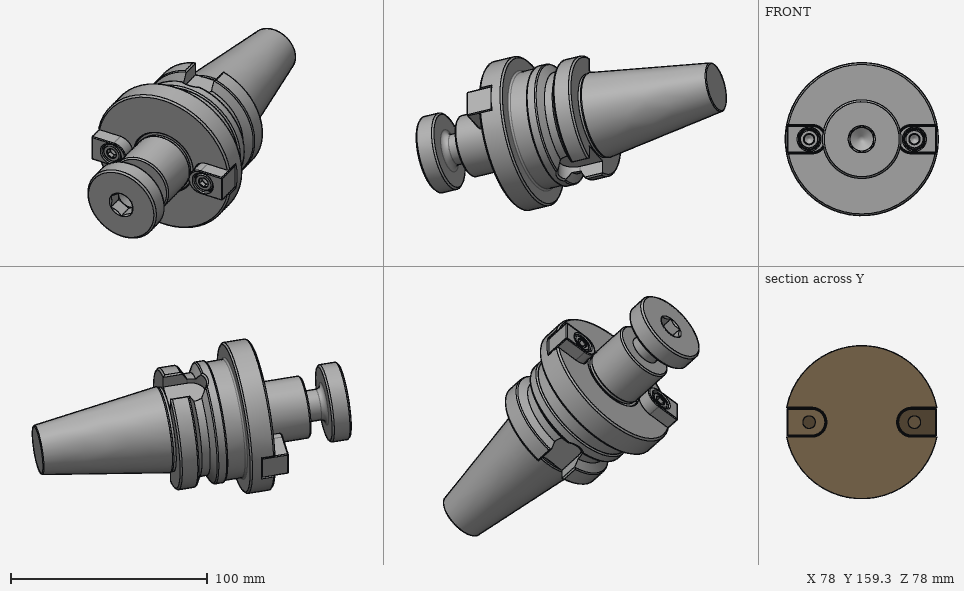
import cadquery as cq
import math


gauge_diameter = 44.5
taper_length = 65.4
taper_ratio = 7 / 24
taper_end_chamfer = 0.5
relief_depth = 0.4
relief_ramp = 0.8

flange_diameter = 63.0
flange_back_y = -2.0
flange_front_y = -27.0
flange_back_chamfer = 1.0
flange_front_chamfer = 0.8
groove_centre_y = -16.5
groove_floor_diameter = 53.1
groove_floor_width = 4.3
groove_wall_angle = 60
groove_edge_chamfer = 0.5

drive_slot_width = 16.1
drive_slot_end_y = -22.6
drive_slot_floor_z = 22.5
drive_slot_chamfer = 1.0

neck_diameter = 61.0
neck_fillet = 1.0
body_diameter = 78.0
body_back_y = -37.0
body_face_y = -50.0
body_chamfer = 1.0
pilot_diameter = 32.0
pilot_length = 23.9
pilot_chamfer = 0.8
undercut_depth = 0.5
undercut_width = 1.0
undercut_rim = 1.0

key_width = 14.0
key_outer_x = 38.1
key_inner_x = 18.3
key_depth = 7.2
key_protrusion = 6.9
key_chamfer = 0.5
key_slot_clearance = 0.5

key_screw_x = 26.8
key_screw_head_diameter = 10.0
key_screw_head_height = 6.0
key_screw_head_chamfer = 0.6
key_screw_shank_diameter = 6.0
key_screw_shank_length = 12.8
key_screw_recess = 0.6
key_screw_socket_width = 5.0
key_screw_socket_depth = 3.0
counterbore_diameter = 11.0
counterbore_chamfer = 0.6

clamp_shank_diameter = 16.0
clamp_head_diameter = 40.0
clamp_head_height = 10.0
clamp_head_chamfer = 1.0
clamp_fillet = 3.0
clamp_gap = 10.0
clamp_socket_width = 12.0
clamp_socket_depth = 8.0

drill_point_angle = 118

pilot_end_y = body_face_y - pilot_length
clamp_head_back_y = pilot_end_y - clamp_gap
clamp_head_front_y = clamp_head_back_y - clamp_head_height
key_bottom_y = body_face_y + key_depth
key_face_y = body_face_y - key_protrusion
key_screw_head_y = key_face_y + key_screw_recess
key_screw_seat_y = key_screw_head_y + key_screw_head_height
key_screw_tip_y = key_screw_seat_y + key_screw_shank_length
SIDES = (-1, 1)


def turned(outline):
    """Revolve a list of (radius, y) points about the tool axis."""
    return cq.Workplane("XY").polyline(outline).close().revolve(360, (0, 0, 0), (0, 1, 0))


def rod(diameter, start_y, end_y, x=0):
    """Cylinder parallel to the tool axis between two Y places."""
    return cq.Workplane("XZ", origin=(x, start_y, 0)).circle(diameter / 2).extrude(start_y - end_y)


def hexagon_socket(width, face_y, depth):
    """Hexagon socket open to -Y, with a chamfered mouth and a drill point at the bottom."""
    inner_radius = width / 2
    corner_radius = width / math.sqrt(3)
    mouth_depth = corner_radius - inner_radius
    floor_y = face_y + depth
    tip_y = floor_y + inner_radius / math.tan(math.radians(drill_point_angle / 2))
    hexagon = (
        cq.Workplane("XZ", origin=(0, floor_y, 0))
        .transformed(rotate=(0, 0, 90))
        .polygon(6, 2 * corner_radius)
        .extrude(depth)
    )
    bore = turned([
        (0, face_y),
        (corner_radius, face_y),
        (inner_radius, face_y + mouth_depth),
        (inner_radius, floor_y),
        (0, tip_y),
    ])
    return hexagon.union(bore)


def taper():
    big_radius = gauge_diameter / 2
    small_radius = big_radius - taper_length * taper_ratio / 2
    relief_radius = big_radius - relief_depth
    return turned([
        (0, taper_length),
        (small_radius - taper_end_chamfer, taper_length),
        (small_radius + taper_end_chamfer * taper_ratio / 2, taper_length - taper_end_chamfer),
        (big_radius, 0),
        (relief_radius, -relief_ramp),
        (relief_radius, flange_back_y),
        (0, flange_back_y),
    ])


def drive_slot():
    """Slot at the top of the flange, open to +Y, with a half-round end."""
    half_width = drive_slot_width / 2
    arc_centre_y = drive_slot_end_y + half_width
    return (
        cq.Workplane("XY", origin=(0, 0, drive_slot_floor_z))
        .moveTo(-half_width, flange_back_y)
        .lineTo(-half_width, arc_centre_y)
        .threePointArc((0, drive_slot_end_y), (half_width, arc_centre_y))
        .lineTo(half_width, flange_back_y)
        .close()
        .extrude(flange_diameter / 2)
    )


def v_groove():
    floor_radius = groove_floor_diameter / 2
    rim_radius = flange_diameter / 2
    half_floor = groove_floor_width / 2
    half_rim = half_floor + (rim_radius - floor_radius) / math.tan(math.radians(groove_wall_angle))
    chamfer_radius = rim_radius - groove_edge_chamfer
    half_chamfer = half_floor + (chamfer_radius - floor_radius) / math.tan(math.radians(groove_wall_angle))
    half_mouth = half_rim + groove_edge_chamfer
    return turned([
        (floor_radius, groove_centre_y - half_floor),
        (chamfer_radius, groove_centre_y - half_chamfer),
        (rim_radius, groove_centre_y - half_mouth),
        (rim_radius, groove_centre_y + half_mouth),
        (chamfer_radius, groove_centre_y + half_chamfer),
        (floor_radius, groove_centre_y + half_floor),
    ])


def drive_flange():
    radius = flange_diameter / 2
    flange = rod(flange_diameter, flange_back_y, flange_front_y)
    slot = drive_slot()
    flange = flange.cut(slot).cut(slot.rotate((0, 0, 0), (0, 1, 0), 180))
    edge_reach = drive_slot_width / 2 + drive_slot_chamfer / 2
    lowest_z = math.sqrt(radius**2 - edge_reach**2)
    for side in SIDES:
        mouth = cq.selectors.BoxSelector(
            (-edge_reach, flange_back_y, side * lowest_z),
            (edge_reach, flange_front_y, side * flange_diameter),
        )
        flange = flange.edges(mouth).chamfer(drive_slot_chamfer)
    rim = turned([
        (0, flange_back_y),
        (radius - flange_back_chamfer, flange_back_y),
        (radius, flange_back_y - flange_back_chamfer),
        (radius, flange_front_y + flange_front_chamfer),
        (radius - flange_front_chamfer, flange_front_y),
        (0, flange_front_y),
    ])
    return flange.intersect(rim).cut(v_groove())


def neck_body_and_pilot():
    neck_radius = neck_diameter / 2
    body_radius = body_diameter / 2
    pilot_radius = pilot_diameter / 2
    undercut_radius = pilot_radius - undercut_depth
    recess_radius = pilot_radius + undercut_rim
    undercut_end_y = body_face_y - undercut_width
    fillet_middle = neck_fillet * (1 - math.sqrt(0.5))
    return (
        cq.Workplane("XY")
        .moveTo(0, flange_front_y)
        .lineTo(neck_radius, flange_front_y)
        .lineTo(neck_radius, body_back_y + neck_fillet)
        .threePointArc(
            (neck_radius + fillet_middle, body_back_y + fillet_middle),
            (neck_radius + neck_fillet, body_back_y),
        )
        .lineTo(body_radius - body_chamfer, body_back_y)
        .lineTo(body_radius, body_back_y - body_chamfer)
        .lineTo(body_radius, body_face_y + body_chamfer)
        .lineTo(body_radius - body_chamfer, body_face_y)
        .lineTo(recess_radius + undercut_depth, body_face_y)
        .lineTo(recess_radius, body_face_y + undercut_depth)
        .lineTo(undercut_radius, body_face_y + undercut_depth)
        .lineTo(undercut_radius, undercut_end_y)
        .lineTo(pilot_radius, undercut_end_y - undercut_depth)
        .lineTo(pilot_radius, pilot_end_y + pilot_chamfer)
        .lineTo(pilot_radius - pilot_chamfer, pilot_end_y)
        .lineTo(0, pilot_end_y)
        .close()
        .revolve(360, (0, 0, 0), (0, 1, 0))
    )


def round_nosed_bar(width, outer_x, near_y, far_y):
    """Bar along +X with a half-round inner end, centred on the round of the keys."""
    half_width = width / 2
    arc_centre_x = key_inner_x + key_width / 2
    return (
        cq.Workplane("XZ", origin=(0, near_y, 0))
        .moveTo(outer_x, half_width)
        .lineTo(arc_centre_x, half_width)
        .threePointArc((arc_centre_x - half_width, 0), (arc_centre_x, -half_width))
        .lineTo(outer_x, -half_width)
        .close()
        .extrude(near_y - far_y)
    )


def on_side(shape, side):
    """Turn a shape made at +X half a turn about the tool axis when the side is -1."""
    return shape if side > 0 else shape.rotate((0, 0, 0), (0, 1, 0), 180)


def make_holder():
    holder = taper().union(drive_flange()).union(neck_body_and_pilot())
    key_slot = round_nosed_bar(key_width + 2 * key_slot_clearance, body_diameter, key_bottom_y, body_face_y)
    key_screw_hole = rod(key_screw_shank_diameter, key_screw_tip_y, key_bottom_y, key_screw_x)
    for side in SIDES:
        holder = holder.cut(on_side(key_slot, side)).cut(on_side(key_screw_hole, side))
    return holder.cut(rod(clamp_shank_diameter, body_face_y, pilot_end_y))


def make_key(side):
    key = round_nosed_bar(key_width, key_outer_x, key_bottom_y, key_face_y)
    key = key.faces(">X or <Y or >Y").edges().chamfer(key_chamfer)
    counterbore = rod(counterbore_diameter, key_screw_seat_y, key_face_y, key_screw_x)
    mouth_radius = counterbore_diameter / 2 + counterbore_chamfer
    mouth = turned([
        (0, key_face_y),
        (mouth_radius, key_face_y),
        (0, key_face_y + mouth_radius),
    ]).translate((key_screw_x, 0, 0))
    shank_hole = rod(key_screw_shank_diameter, key_bottom_y, key_screw_seat_y, key_screw_x)
    return on_side(key.cut(counterbore).cut(mouth).cut(shank_hole), side)


def make_key_screw(side):
    head = rod(key_screw_head_diameter, key_screw_seat_y, key_screw_head_y)
    head = head.faces("<Y").edges().chamfer(key_screw_head_chamfer)
    shank = rod(key_screw_shank_diameter, key_screw_tip_y, key_screw_seat_y)
    socket = hexagon_socket(key_screw_socket_width, key_screw_head_y, key_screw_socket_depth)
    screw = head.union(shank).cut(socket)
    return on_side(screw.translate((key_screw_x, 0, 0)), side)


def make_clamp_screw():
    shank_radius = clamp_shank_diameter / 2
    head_radius = clamp_head_diameter / 2
    fillet_middle = clamp_fillet * (1 - math.sqrt(0.5))
    screw = (
        cq.Workplane("XY")
        .moveTo(0, body_face_y)
        .lineTo(shank_radius, body_face_y)
        .lineTo(shank_radius, clamp_head_back_y + clamp_fillet)
        .threePointArc(
            (shank_radius + fillet_middle, clamp_head_back_y + fillet_middle),
            (shank_radius + clamp_fillet, clamp_head_back_y),
        )
        .lineTo(head_radius - clamp_head_chamfer, clamp_head_back_y)
        .lineTo(head_radius, clamp_head_back_y - clamp_head_chamfer)
        .lineTo(head_radius, clamp_head_front_y + clamp_head_chamfer)
        .lineTo(head_radius - clamp_head_chamfer, clamp_head_front_y)
        .lineTo(0, clamp_head_front_y)
        .close()
        .revolve(360, (0, 0, 0), (0, 1, 0))
    )
    return screw.cut(hexagon_socket(clamp_socket_width, clamp_head_front_y, clamp_socket_depth))


holder = make_holder()
clamp_screw = make_clamp_screw()
keys = [make_key(side) for side in SIDES]
key_screws = [make_key_screw(side) for side in SIDES]

result = cq.Compound.makeCompound([
    holder.val(),
    clamp_screw.val(),
    *[key.val() for key in keys],
    *[key_screw.val() for key_screw in key_screws],
])